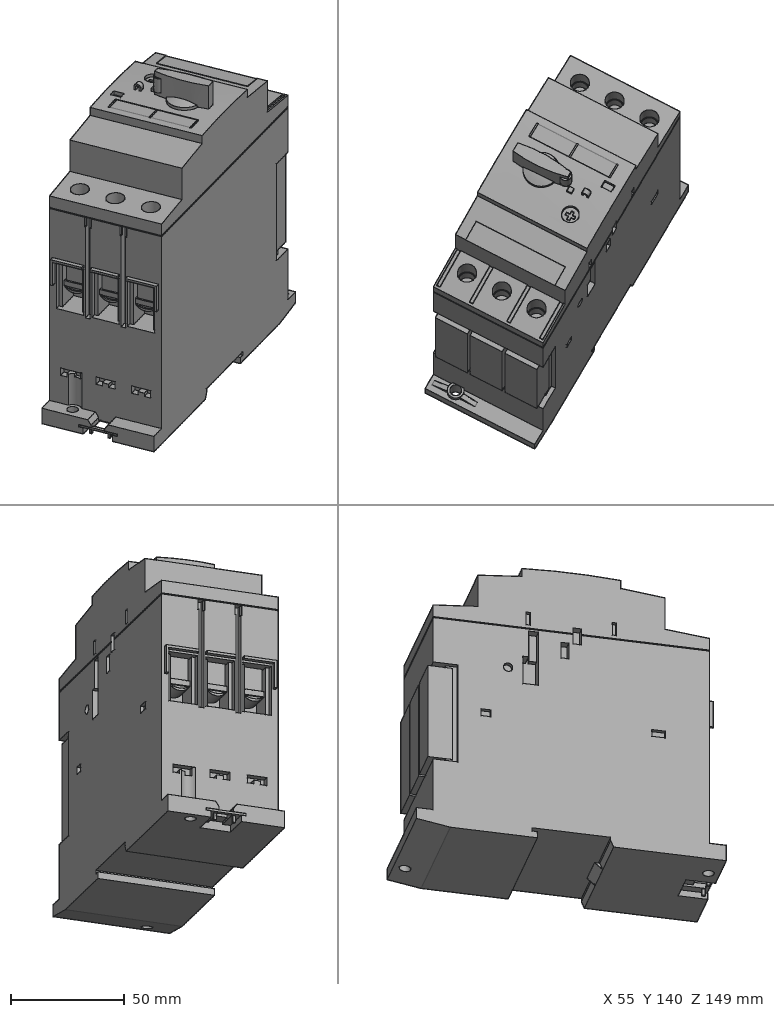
import cadquery as cq
import math


WIDTH = 55.0
TOTAL_HEIGHT = 149.0
FOOT_Y = 70.0
BODY_Y = 62.5
FOOT_TOP = 7.9
POLE_PITCH = 17.5
POLES = (-POLE_PITCH, 0.0, POLE_PITCH)
LEFT = -WIDTH / 2

SHELF_OUTER_Z, SHELF_INNER_Z = 112.0, 114.0
MIDDLE_Y, MIDDLE_OUTER_Z, MIDDLE_INNER_Z = 42.3, 130.0, 132.0
CROWN_Y, CROWN_EDGE_Z, CROWN_Z = 22.4, 136.0, 136.8

REAR_FOOT_TIP_Z, REAR_FOOT_RAMP_Y = 2.4, 54.7
RAIL_Y, RAIL_TOP = 17.7, 4.8
RAIL_LIP_Y, RAIL_LIP_Z = 15.3, 3.1
RAIL_RELIEF_Y = 19.0

SEAM_Z, SEAM_WIDTH, SEAM_DEPTH = 105.6, 0.5, 0.1

NOTCH_Z = (33.7, 83.0)
NOTCH_Y = 56.5
NOTCH_SIDE_Y = 51.3
BLOCK_WIDTH = 16.1
BLOCK_Y = (53.3, 64.4)
BLOCK_Z = (35.8, 82.1)
BLOCK_SPAN = 2 * POLE_PITCH + BLOCK_WIDTH

ENTRY_WIDTH, ENTRY_Z, ENTRY_CHEEK_DEPTH = 13.4, (55.6, 78.8), 2.5
THROAT_WIDTH, THROAT_DEPTH = 9.8, 13.4
CLAMP_WIDTH, CLAMP_Z, CLAMP_DEPTH = 8.6, 68.1, 5.0
CLAMP_LIP_Z, CLAMP_BELLY_Z, CLAMP_SCOOP_Z, CLAMP_LIP = 65.5, 62.9, 64.0, 0.9

HOOD_WIDTH, HOOD_TOP, HOOD_BOTTOM = 52.2, 81.0, 68.1
HOOD_WALL, HOOD_REACH, HOOD_GAP = 1.2, 2.1, 3.9

DIVIDER_WIDTH, DIVIDER_BOTTOM, DIVIDER_DEPTH = 2.2, 54.5, 3.7
DIVIDER_HEAD_WIDTH, DIVIDER_HEAD_Z, DIVIDER_HEAD_DEPTH = 3.3, 100.9, 1.5

BRIDGE_WIDTH, BRIDGE_Z, BRIDGE_DEPTH = 9.2, (22.0, 25.8), 3.3
BRIDGE_TAB_WIDTH, BRIDGE_TAB_Z = 3.1, 23.7

FIXING_X, FIXING_Y, FIXING_RADIUS = 14.9, 65.0, 2.5
CHANNEL_RADIUS, CHANNEL_TOP = 4.2, BRIDGE_Z[1]

RELEASE_TOP_WIDTH, RELEASE_WIDTH, RELEASE_TAPER_Z = 10.0, 6.7, 5.5
CROSSBAR_WIDTH, CROSSBAR_Z, CROSSBAR_Y, CROSSBAR_SETBACK = 18.8, (3.1, 4.2), -68.1, 0.3
UNDERCUT_WIDTH, UNDERCUT_Y = 14.3, -56.6
GUIDE_RIB_X, GUIDE_RIB_WIDTH, GUIDE_RIB_LENGTH = 4.5, 1.0, 1.5

WEDGE_INNER, WEDGE_OUTER, WEDGE_TOP = 2.7, 10.7, 10.0
WEDGE_Y = (64.7, 67.0)
COLLAR_RADIUS = 3.7

SCREW_FRONT_Y, SCREW_REAR_Y = -52.7, 50.0
SCREW_RADIUS, SCREW_SEAT_RADIUS = 4.2, 3.7
SCREW_SEAT_Z, SCREW_FLOOR_Z = 104.3, 98.3

SHELF_GROOVE_X = (-25.8, -9.4, 9.4, 25.8)
SHELF_GROOVE_WIDTH, SHELF_GROOVE_END_Y, SHELF_GROOVE_DEPTH = 1.6, 61.1, 0.9
FIELD_WIDTH, FIELD_INNER_Y, FIELD_DEPTH = 44.7, 32.8, 0.3

DIAL_X, DIAL_Y, DIAL_RADIUS, DIAL_FLOOR = -13.4, 11.9, 3.9, 135.0
CROSS_LENGTH, CROSS_WIDTH, CROSS_DEPTH = 4.5, 1.3, 0.9
ARCH_X, ARCH_Y, ARCH_TOP, ARCH_WIDTH, ARCH_WALL = -14.9, (-1.0, 1.5), 139.9, 3.5, 0.9
MARKER_X, MARKER_Y, MARKER_TOP = (-9.2, -6.9), (1.0, 3.5), 138.1
WINDOW_X, WINDOW_Y, WINDOW_FLOOR = (-24.0, -18.9), (-9.4, -6.0), 134.8
LABEL_WIDTH, LABEL_Y, LABEL_BORDER, LABEL_FLOOR = 40.8, (-18.9, -11.6), 0.7, 136.2
LABEL_INSERT_RISE = 0.07

KNOB_X, KNOB_RADIUS, KNOB_SEAT_Z, KNOB_RIM_Z, KNOB_DOME_Z = 7.7, 8.0, 135.6, 138.1, 139.9
HANDLE_BOTTOM = 137.2
HANDLE_TAIL_X, HANDLE_TAIL_HALF = -6.3, 1.3
HANDLE_BULGE_X, HANDLE_BULGE_HALF = 7.5, 3.1
HANDLE_TIP_X, HANDLE_TIP_HALF = 20.7, 2.2
PIN_X, PIN_RADIUS, PIN_Z = -4.5, 2.7, (139.2, 146.3)

SHALLOW, MEDIUM, DEEP = 1.8, 3.7, 6.0
SIDE_RECESSES = (
    ((18.5, 20.4), (107.7, 114.1), SHALLOW),
    ((-20.4, -18.5), (107.7, 114.1), SHALLOW),
    ((-4.6, -0.7), (100.9, 108.9), MEDIUM),
    ((1.2, 4.6), (93.0, 100.9), MEDIUM),
    ((36.4, 40.8), (58.7, 62.1), SHALLOW),
    ((-42.5, -36.4), (58.7, 62.1), SHALLOW),
    ((14.9, 21.9), (77.6, 91.5), DEEP),
    ((14.9, 18.2), (91.5, 104.6), MEDIUM),
    ((18.2, 19.4), (91.5, 104.6), DEEP),
)
SIDE_HOLE_Y, SIDE_HOLE_Z, SIDE_HOLE_RADIUS = 28.6, 85.0, 2.1


def box(x, y, z):
    """Box from (low, high) ranges along the three axes."""
    size = (x[1] - x[0], y[1] - y[0], z[1] - z[0])
    return cq.Workplane("XY").box(*size, centered=False).translate((x[0], y[0], z[0]))


def span(center, width):
    """(low, high) range of a given width about a centre."""
    return (center - width / 2, center + width / 2)


def cylinder(x, y, radius, z):
    """Upright cylinder over a (low, high) height range."""
    return cq.Workplane("XY", origin=(x, y, z[0])).circle(radius).extrude(z[1] - z[0])


def prism_x(points, x):
    """Prism along X over a (low, high) range from a (Y, Z) outline."""
    return cq.Workplane("YZ", origin=(x[0], 0, 0)).polyline(points).close().extrude(x[1] - x[0])


def prism_y(points, y):
    """Prism along Y over a (low, high) range from an (X, Z) outline."""
    return cq.Workplane("XZ", origin=(0, y[1], 0)).polyline(points).close().extrude(y[1] - y[0])


def from_front(depth):
    """Y range of a pocket sunk to a depth below the front face."""
    return (-BODY_Y, -BODY_Y + depth)


def housing_blank():
    """Side profile with feet, rail notch and stepped, slightly crowned top."""
    return (
        cq.Workplane("YZ", origin=(LEFT, 0, 0))
        .moveTo(-FOOT_Y, 0)
        .lineTo(-FOOT_Y, FOOT_TOP)
        .lineTo(-BODY_Y, FOOT_TOP)
        .lineTo(-BODY_Y, SHELF_OUTER_Z)
        .lineTo(-MIDDLE_Y, SHELF_INNER_Z)
        .lineTo(-MIDDLE_Y, MIDDLE_OUTER_Z)
        .lineTo(-CROWN_Y, MIDDLE_INNER_Z)
        .lineTo(-CROWN_Y, CROWN_EDGE_Z)
        .threePointArc((0, CROWN_Z), (CROWN_Y, CROWN_EDGE_Z))
        .lineTo(CROWN_Y, MIDDLE_INNER_Z)
        .lineTo(MIDDLE_Y, MIDDLE_OUTER_Z)
        .lineTo(MIDDLE_Y, SHELF_INNER_Z)
        .lineTo(BODY_Y, SHELF_OUTER_Z)
        .lineTo(BODY_Y, FOOT_TOP)
        .lineTo(FOOT_Y, FOOT_TOP)
        .lineTo(FOOT_Y, REAR_FOOT_TIP_Z)
        .lineTo(REAR_FOOT_RAMP_Y, 0)
        .lineTo(RAIL_LIP_Y, 0)
        .lineTo(RAIL_LIP_Y, RAIL_LIP_Z)
        .lineTo(RAIL_Y, RAIL_LIP_Z)
        .lineTo(RAIL_Y, RAIL_TOP)
        .lineTo(-RAIL_Y, RAIL_TOP)
        .lineTo(-RAIL_Y, RAIL_LIP_Z)
        .lineTo(-RAIL_RELIEF_Y, 0)
        .close()
        .extrude(WIDTH)
    )


def rail_hook():
    """Sloped hook holding the front edge of the rail."""
    outline = [(-RAIL_LIP_Y, RAIL_LIP_Z), (-RAIL_Y, RAIL_LIP_Z), (-RAIL_RELIEF_Y, 0)]
    return prism_x(outline, span(0, UNDERCUT_WIDTH))


def seam_groove():
    """Shallow joint groove around the whole housing."""
    z = (SEAM_Z, SEAM_Z + SEAM_WIDTH)
    ring = box(span(0, WIDTH), span(0, 2 * BODY_Y), z)
    core = box(span(0, WIDTH - 2 * SEAM_DEPTH), span(0, 2 * (BODY_Y - SEAM_DEPTH)), z)
    return ring.cut(core)


def rear_notch():
    """Notch across the rear, cut deeper beside the row of terminal blocks."""
    notch = box(span(0, WIDTH), (NOTCH_Y, BODY_Y), NOTCH_Z)
    side_width = (WIDTH - BLOCK_SPAN) / 2
    for side in (-1, 1):
        x = span(side * (WIDTH - side_width) / 2, side_width)
        notch = notch.union(box(x, (NOTCH_SIDE_Y, BODY_Y), NOTCH_Z))
    return notch


def wire_entry(x):
    """Entry pocket of one pole, with the throat around its clamp."""
    entry = box(span(x, ENTRY_WIDTH), from_front(ENTRY_CHEEK_DEPTH), ENTRY_Z)
    throat = box(span(x, THROAT_WIDTH), from_front(THROAT_DEPTH), ENTRY_Z)
    return entry.union(throat)


def clamp(x):
    """Terminal clamp in a throat: plate, protruding lip and rounded belly with a scoop."""
    back = -BODY_Y + THROAT_DEPTH
    front = -BODY_Y + CLAMP_DEPTH
    lip_front = front - CLAMP_LIP
    half = THROAT_WIDTH / 2

    def segment(lowest_z, y):
        """Circle segment hanging below the lip."""
        return (
            cq.Workplane("XZ", origin=(x, y[1], 0))
            .moveTo(-half, CLAMP_LIP_Z)
            .threePointArc((0, lowest_z), (half, CLAMP_LIP_Z))
            .close()
            .extrude(y[1] - y[0])
        )

    plate = box(span(x, CLAMP_WIDTH), (front, back), (CLAMP_Z, ENTRY_Z[1]))
    lip = box(span(x, THROAT_WIDTH), (lip_front, back), (CLAMP_LIP_Z, CLAMP_Z))
    belly = segment(CLAMP_BELLY_Z, (lip_front, back))
    scoop = segment(CLAMP_SCOOP_Z, (lip_front, front))
    return plate.union(lip).union(belly.cut(scoop))


def hood():
    """Thin hood over the wire entries, interrupted at the dividing grooves."""
    y = (-BODY_Y - HOOD_REACH, -BODY_Y)
    shell = box(span(0, HOOD_WIDTH), y, (HOOD_BOTTOM, HOOD_TOP))
    inside = box(span(0, HOOD_WIDTH - 2 * HOOD_WALL), y, (HOOD_BOTTOM, HOOD_TOP - HOOD_WALL))
    shell = shell.cut(inside)
    for side in (-1, 1):
        gap = box(span(side * POLE_PITCH / 2, HOOD_GAP), y, (HOOD_BOTTOM, HOOD_TOP))
        shell = shell.cut(gap)
    return shell


def divider_groove(x):
    """Groove between two poles, wider at its head under the joint."""
    stem = box(span(x, DIVIDER_WIDTH), from_front(DIVIDER_DEPTH), (DIVIDER_BOTTOM, SEAM_Z))
    head_y = from_front(DIVIDER_HEAD_DEPTH)
    head = box(span(x, DIVIDER_HEAD_WIDTH), head_y, (DIVIDER_HEAD_Z, SEAM_Z))
    return stem.union(head)


def bridge_slot(x):
    """Slot with a tab rising from the middle of its lower edge."""
    y = from_front(BRIDGE_DEPTH)
    slot = box(span(x, BRIDGE_WIDTH), y, BRIDGE_Z)
    return slot.cut(box(span(x, BRIDGE_TAB_WIDTH), y, (BRIDGE_Z[0], BRIDGE_TAB_Z)))


def screwdriver_channel():
    """Shallow round channel in the front face, coaxial with the fixing hole."""
    return cylinder(-FIXING_X, -FIXING_Y, CHANNEL_RADIUS, (FOOT_TOP, CHANNEL_TOP))


def release_opening():
    """Tapered opening and undercut in the front foot, leaving a crossbar and two ribs."""
    top, half = RELEASE_TOP_WIDTH / 2, RELEASE_WIDTH / 2
    bar_low, bar_high = CROSSBAR_Z
    funnel_outline = [
        (-top, FOOT_TOP),
        (-half, RELEASE_TAPER_Z),
        (-half, bar_high),
        (half, bar_high),
        (half, RELEASE_TAPER_Z),
        (top, FOOT_TOP),
    ]
    funnel = prism_y(funnel_outline, (-FOOT_Y, -BODY_Y))
    hole = box(span(0, RELEASE_WIDTH), (CROSSBAR_Y, UNDERCUT_Y), CROSSBAR_Z)
    face_slot = box(span(0, CROSSBAR_WIDTH), (-FOOT_Y, -FOOT_Y + CROSSBAR_SETBACK), CROSSBAR_Z)
    undercut = box(span(0, UNDERCUT_WIDTH), (-FOOT_Y, UNDERCUT_Y), (0, bar_low))
    for side in (-1, 1):
        rib_x = span(side * GUIDE_RIB_X, GUIDE_RIB_WIDTH)
        rib = box(rib_x, (CROSSBAR_Y, CROSSBAR_Y + GUIDE_RIB_LENGTH), (0, bar_low))
        undercut = undercut.cut(rib)
    return funnel.union(hole).union(face_slot).union(undercut)


def rear_foot_wedges():
    """Two ramps rising toward a collar around the rear fixing hole."""
    rise = cylinder(FIXING_X, FIXING_Y, COLLAR_RADIUS, (FOOT_TOP, WEDGE_TOP))
    for side in (-1, 1):
        outline = [
            (FIXING_X + side * WEDGE_OUTER, FOOT_TOP),
            (FIXING_X + side * WEDGE_INNER, FOOT_TOP),
            (FIXING_X + side * WEDGE_INNER, WEDGE_TOP),
        ]
        rise = rise.union(prism_y(outline, WEDGE_Y))
    return rise


def screw_hole(x, y):
    """Stepped access hole above a clamp screw."""
    bore = cylinder(x, y, SCREW_RADIUS, (SCREW_SEAT_Z, CROWN_Z))
    return bore.union(cylinder(x, y, SCREW_SEAT_RADIUS, (SCREW_FLOOR_Z, SCREW_SEAT_Z)))


def shelf_groove(x):
    """Groove that follows the slope of the rear shelf."""
    slope = (SHELF_INNER_Z - SHELF_OUTER_Z) / (BODY_Y - MIDDLE_Y)
    end_z = SHELF_OUTER_Z + slope * (BODY_Y - SHELF_GROOVE_END_Y)
    outline = [
        (MIDDLE_Y, SHELF_INNER_Z),
        (SHELF_GROOVE_END_Y, end_z),
        (SHELF_GROOVE_END_Y, end_z - SHELF_GROOVE_DEPTH),
        (MIDDLE_Y, SHELF_INNER_Z - SHELF_GROOVE_DEPTH),
    ]
    return prism_x(outline, span(x, SHELF_GROOVE_WIDTH))


def rear_label_field():
    """Shallow field that follows the slope of the rear middle tread."""
    slope = (MIDDLE_INNER_Z - MIDDLE_OUTER_Z) / (MIDDLE_Y - CROWN_Y)
    inner_z = MIDDLE_OUTER_Z + slope * (MIDDLE_Y - FIELD_INNER_Y)
    outline = [
        (MIDDLE_Y, MIDDLE_OUTER_Z),
        (FIELD_INNER_Y, inner_z),
        (FIELD_INNER_Y, inner_z - FIELD_DEPTH),
        (MIDDLE_Y, MIDDLE_OUTER_Z - FIELD_DEPTH),
    ]
    return prism_x(outline, span(0, FIELD_WIDTH))


def setting_dial():
    """Round pocket with a cross recess in its floor."""
    cross_z = (DIAL_FLOOR - CROSS_DEPTH, DIAL_FLOOR)
    long_x, long_y = span(DIAL_X, CROSS_LENGTH), span(DIAL_Y, CROSS_LENGTH)
    thin_x, thin_y = span(DIAL_X, CROSS_WIDTH), span(DIAL_Y, CROSS_WIDTH)
    pocket = cylinder(DIAL_X, DIAL_Y, DIAL_RADIUS, (DIAL_FLOOR, CROWN_Z))
    return pocket.union(box(long_x, thin_y, cross_z)).union(box(thin_x, long_y, cross_z))


def arch():
    """Small sealing arch standing on the crown."""
    def arched_bar(width, top):
        spring = top - width / 2
        return (
            cq.Workplane("XZ", origin=(ARCH_X, ARCH_Y[1], 0))
            .moveTo(-width / 2, CROWN_EDGE_Z)
            .lineTo(-width / 2, spring)
            .threePointArc((0, top), (width / 2, spring))
            .lineTo(width / 2, CROWN_EDGE_Z)
            .close()
            .extrude(ARCH_Y[1] - ARCH_Y[0])
        )

    return arched_bar(ARCH_WIDTH, ARCH_TOP).cut(
        arched_bar(ARCH_WIDTH - 2 * ARCH_WALL, ARCH_TOP - ARCH_WALL)
    )


def crown_label():
    """Label recess holding two slightly raised inserts."""
    recess = box(span(0, LABEL_WIDTH), LABEL_Y, (LABEL_FLOOR, CROWN_Z))
    insert_width = (LABEL_WIDTH - 3 * LABEL_BORDER) / 2
    insert_z = (LABEL_FLOOR, LABEL_FLOOR + LABEL_INSERT_RISE)
    for side in (-1, 1):
        x = span(side * (insert_width + LABEL_BORDER) / 2, insert_width)
        recess = recess.cut(box(x, LABEL_Y, insert_z))
    return recess


def side_recesses():
    """Openings in the left side face."""
    cuts = (
        cq.Workplane("YZ", origin=(LEFT, 0, 0))
        .center(SIDE_HOLE_Y, SIDE_HOLE_Z)
        .circle(SIDE_HOLE_RADIUS)
        .extrude(SHALLOW)
    )
    for y, z, depth in SIDE_RECESSES:
        cuts = cuts.union(box((LEFT, LEFT + depth), y, z))
    return cuts


def make_housing():
    body = housing_blank()
    for cut in (seam_groove(), rear_notch(), screwdriver_channel(), release_opening(),
                rear_label_field(), setting_dial(), crown_label(), side_recesses(),
                box(WINDOW_X, WINDOW_Y, (WINDOW_FLOOR, CROWN_Z))):
        body = body.cut(cut)
    for x in POLES:
        body = body.cut(wire_entry(x)).union(clamp(x))
        body = body.cut(bridge_slot(x))
        body = body.cut(screw_hole(x, SCREW_FRONT_Y)).cut(screw_hole(x, SCREW_REAR_Y))
    for x in SHELF_GROOVE_X:
        body = body.cut(shelf_groove(x))
    for side in (-1, 1):
        body = body.cut(divider_groove(side * POLE_PITCH / 2))
    marker = box(MARKER_X, MARKER_Y, (CROWN_EDGE_Z, MARKER_TOP))
    for rise in (hood(), rail_hook(), rear_foot_wedges(), arch(), marker):
        body = body.union(rise)
    for side in (-1, 1):
        hole = cylinder(side * FIXING_X, side * FIXING_Y, FIXING_RADIUS, (0, WEDGE_TOP))
        body = body.cut(hole)
    return body


def make_terminal_block(x):
    return box(span(x, BLOCK_WIDTH), BLOCK_Y, BLOCK_Z)


def make_knob():
    """Domed disc carrying a lens-shaped handle with a round pin at its tail."""
    dome_rise = KNOB_DOME_Z - KNOB_RIM_Z
    sphere = (KNOB_RADIUS**2 + dome_rise**2) / (2 * dome_rise)
    shoulder_z = KNOB_DOME_Z - sphere + math.sqrt(sphere**2 - (KNOB_RADIUS / 2) ** 2)
    disc = (
        cq.Workplane("XZ")
        .moveTo(0, KNOB_SEAT_Z)
        .lineTo(KNOB_RADIUS, KNOB_SEAT_Z)
        .lineTo(KNOB_RADIUS, KNOB_RIM_Z)
        .threePointArc((KNOB_RADIUS / 2, shoulder_z), (0, KNOB_DOME_Z))
        .close()
        .revolve(360, (0, 0, 0), (0, 1, 0))
        .translate((KNOB_X, 0, 0))
    )
    handle = (
        cq.Workplane("XY", origin=(0, 0, HANDLE_BOTTOM))
        .moveTo(HANDLE_TAIL_X, -HANDLE_TAIL_HALF)
        .threePointArc((HANDLE_BULGE_X, -HANDLE_BULGE_HALF), (HANDLE_TIP_X, -HANDLE_TIP_HALF))
        .lineTo(HANDLE_TIP_X, HANDLE_TIP_HALF)
        .threePointArc((HANDLE_BULGE_X, HANDLE_BULGE_HALF), (HANDLE_TAIL_X, HANDLE_TAIL_HALF))
        .close()
        .extrude(TOTAL_HEIGHT - HANDLE_BOTTOM)
    )
    return disc.union(handle).union(cylinder(PIN_X, 0, PIN_RADIUS, PIN_Z))


knob = make_knob()
terminal_blocks = [make_terminal_block(x) for x in POLES]
housing = make_housing()
housing = housing.cut(cylinder(KNOB_X, 0, KNOB_RADIUS, (KNOB_SEAT_Z, CROWN_Z)))
for block in terminal_blocks:
    housing = housing.cut(block)

result = cq.Compound.makeCompound(
    [housing.val(), knob.val(), *[block.val() for block in terminal_blocks]]
)